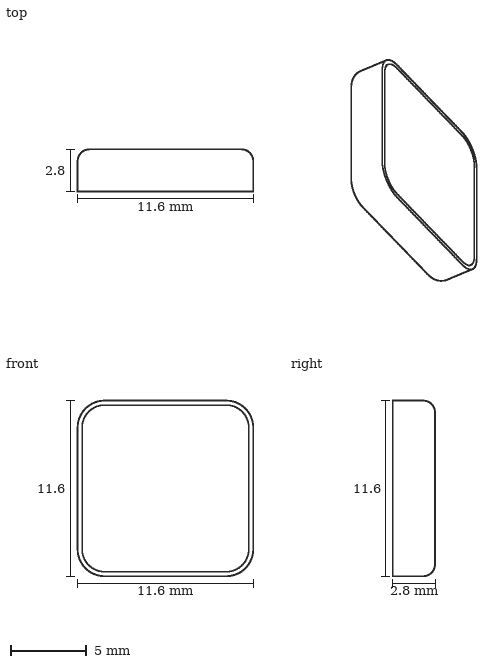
import cadquery as cq

side = 11.6
depth = 2.8
wall = 0.3
corner_radius = 1.8
outer_edge_radius = 0.8
inner_edge_radius = outer_edge_radius - wall


def rounded_block(width, length, upright_radius, closed_edge_radius):
    """Square block from the rim plane (Y = 0) towards +Y, rounded at its closed end."""
    block = cq.Workplane("XZ").rect(width, width).extrude(-length)
    block = block.edges("|Y").fillet(upright_radius)
    return block.faces(">Y").edges().fillet(closed_edge_radius)


shell = rounded_block(side, depth, corner_radius, outer_edge_radius)

cavity = rounded_block(side - 2 * wall, depth - wall, corner_radius - wall, inner_edge_radius)

result = shell.cut(cavity)